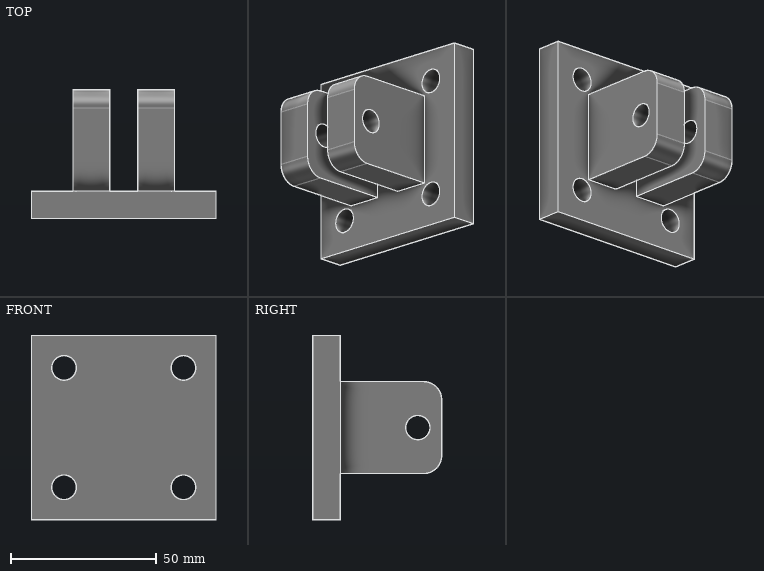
import cadquery as cq

plate_size = 63.5
plate_thickness = 9.5
plate_hole_diameter = 8.4
plate_hole_spacing = 41.1

overall_depth = 44.45
lug_width = 12.7
lug_gap = 9.5
lug_height = 31.75
lug_corner_radius = 6.35
pin_hole_diameter = 8.25
pin_hole_end_distance = 8.25

lug_length = overall_depth - plate_thickness
lug_center_x = (lug_gap + lug_width) / 2


def make_plate():
    """Square plate with its front face at Y = 0 and four through holes."""
    return (
        cq.Workplane("XY")
        .box(plate_size, plate_thickness, plate_size, centered=(True, False, True))
        .faces("<Y")
        .workplane(centerOption="CenterOfBoundBox")
        .rect(plate_hole_spacing, plate_hole_spacing, forConstruction=True)
        .vertices()
        .hole(plate_hole_diameter)
    )


def make_lug(center_x):
    """Lug with rounded free corners and a pin hole along X."""
    lug = (
        cq.Workplane("XY")
        .box(lug_width, lug_length, lug_height, centered=(True, False, True))
        .faces(">Y")
        .edges("|X")
        .fillet(lug_corner_radius)
    )
    pin_hole = (
        cq.Workplane("YZ")
        .center(lug_length - pin_hole_end_distance, 0)
        .circle(pin_hole_diameter / 2)
        .extrude(lug_width, both=True)
    )
    return lug.cut(pin_hole).translate((center_x, plate_thickness, 0))


result = make_plate()
for side in (-1, 1):
    result = result.union(make_lug(side * lug_center_x))